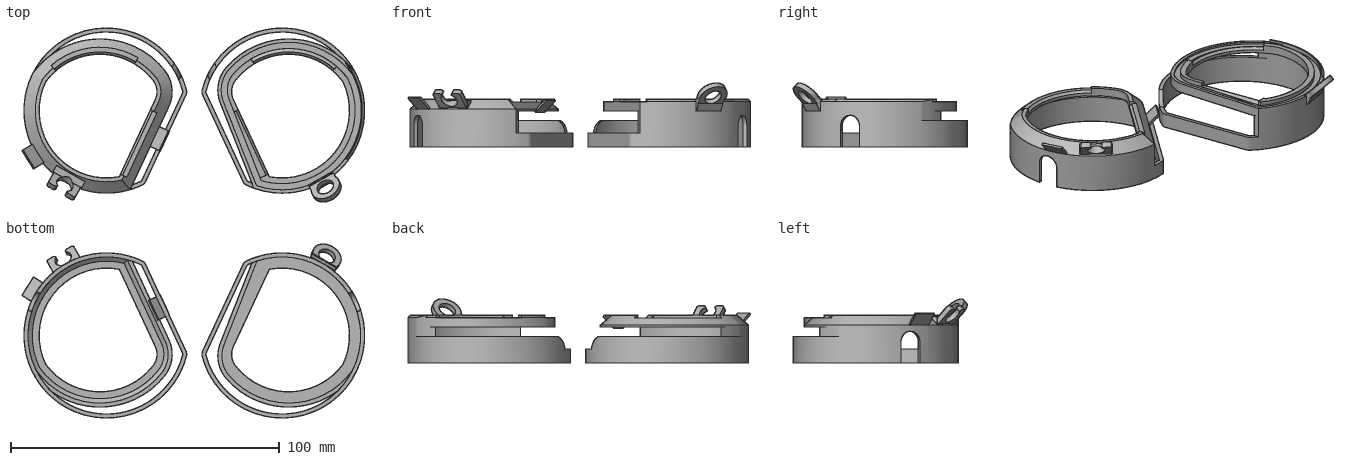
import cadquery as cq
import math

FLAT_ANGLE = -25
HALF_SPACING = 32.7

WALL_RADIUS = 30.8
WALL_THICKNESS = 1.5
WALL_FLAT = 24.4
WALL_CORNER_RADIUS = 2.5

TRIM_X = -0.5
TRIM_Y = -4.7
FLANGE_FLAT = 20.4
FLANGE_CORNER_RADIUS = 12.8
FLANGE_BOTTOM = 13.4
FLANGE_TOP = 17.9
RING_WIDTH = 5.7
CAVITY_CEILING = 14.8

STRAP_TOP = 10.0
STRAP_LOW_TOP = 5.4
RAMP_START = 15.3
RAMP_MIDDLE = (17.9, 8.4)
RAMP_END = 19.7

ARCH_ANGLE = 230
ARCH_WIDTH = 7.7
ARCH_TOP = 11.9

BEVEL_BOTTOM = 14.2
BEVEL_ANGLE = 49

FLAT_TILT = 3.5
LEDGE_TOP = 17.0
GROOVE_FLOOR = 16.3
RIM_WIDTH = 1.3
RING_INSET = 3.6
TALL_RIM_ANGLE = 205
TALL_RIM_SPAN = 74

ARC_LATCH_ANGLE = 120
ARC_LATCH_SPAN = 72
FLAT_LATCH_START = -19.3
FLAT_LATCH_END = 7.1
LATCH_FLOOR = 16.8
LATCH_BEVEL = 0.9
LATCH_OVERCUT = 1.3
RIDGE_FOOT = 15.7
RIDGE_REACH = 3.8

TAB_TILT = 45
TAB_WIDTH = 8.2
TAB_LENGTH = 5.6
TAB_EMBED = 0.6
TAB_THICKNESS = 0.8
ROUND_TAB_ANGLE = 237
ROUND_TAB_RADIUS = 30.1
ROUND_TAB_HEIGHT = 14.8
FLAT_TAB_DISTANCE = 20.0
FLAT_TAB_HEIGHT = 13.9
FLAT_TAB_SHIFT = -1.1

CLIP_ANGLE = 265.5
LUG_THICKNESS = 2.0
LUG_HOLE = 6.5
CLIP_WIDTH = 11.5
CLIP_RADIUS = 32.2
CLIP_HEIGHT = 18.3
CLIP_MOUTH = 4.1
CLIP_TIP_RADIUS = 0.9
CLIP_REACH = 3.5
CLIP_ROOT = 5.6
CLIP_PAD_WIDTH = 12.3
CLIP_PAD_INNER = 26.9
CLIP_PAD_TOP = 17.5
CLIP_PAD_OUTER = 29.6
CLIP_PAD_EDGE = 17.2
EYELET_DIAMETER = 11.2
EYELET_NECK_WIDTH = 10.5
EYELET_RADIUS = 33.3
EYELET_HEIGHT = 19.3
EYELET_ROOT = 5.4
GUSSET_BOTTOM = 13.5
GUSSET_TOP = 16.3
GUSSET_REACH = 1.4

OVERSIZE = 76.6



def block(outline, bottom, top):
    """Extrude a closed wire drawn at z = 0 between two heights."""
    return cq.Workplane("XY").add(outline).toPending().extrude(top - bottom).translate((0, 0, bottom))


def half_space(flat, height):
    return cq.Workplane("XY").box(OVERSIZE, 2 * OVERSIZE, height, centered=(True, True, False)).translate(
        (flat - OVERSIZE / 2, 0, 0))


def wall_wire():
    solid = cq.Workplane("XY").circle(WALL_RADIUS).extrude(1.3).intersect(half_space(WALL_FLAT, 1.3))
    return solid.edges("|Z").fillet(WALL_CORNER_RADIUS).faces("<Z").wires().val()


def flange_wire(flat_tilt):
    solid = cq.Workplane("XY").circle(WALL_RADIUS).extrude(1.3)
    solid = solid.intersect(cq.Workplane("XY").center(TRIM_X, TRIM_Y).circle(WALL_RADIUS).extrude(1.3))
    flat_middle = (FLANGE_FLAT, 0, 0)
    solid = solid.intersect(half_space(FLANGE_FLAT, 1.3).rotate(flat_middle, (FLANGE_FLAT, 0, 1), flat_tilt))
    upper_corner = solid.edges("|Z").edges(">(1, 1, 0)")
    return upper_corner.fillet(FLANGE_CORNER_RADIUS).faces("<Z").wires().val()


def inset(wire, distance):
    return wire.offset2D(-distance)[0]


WALL = wall_wire()
FLANGE = flange_wire(0)
TILTED_FLANGE = flange_wire(FLAT_TILT)
OPENING = inset(FLANGE, RING_WIDTH)


def slot(flange_outline):
    """Space above the strap and outside the flange outline."""
    above_strap = cq.Workplane("XY").box(OVERSIZE, OVERSIZE, FLANGE_BOTTOM - STRAP_TOP, centered=(True, True, False))
    above_strap = above_strap.translate((0, 0, STRAP_TOP))
    above_low_strap = (
        cq.Workplane("XZ")
        .moveTo(RAMP_START, STRAP_TOP)
        .threePointArc(RAMP_MIDDLE, (RAMP_END, STRAP_LOW_TOP))
        .lineTo(OVERSIZE, STRAP_LOW_TOP)
        .lineTo(OVERSIZE, STRAP_TOP)
        .close()
        .extrude(OVERSIZE, both=True)
    )
    return above_strap.union(above_low_strap).cut(block(flange_outline, 0, FLANGE_TOP))


def arch():
    spring_height = ARCH_TOP - ARCH_WIDTH / 2
    profile = (
        cq.Workplane("YZ")
        .moveTo(-ARCH_WIDTH / 2, 0)
        .lineTo(-ARCH_WIDTH / 2, spring_height)
        .threePointArc((0, ARCH_TOP), (ARCH_WIDTH / 2, spring_height))
        .lineTo(ARCH_WIDTH / 2, 0)
        .close()
        .extrude(OVERSIZE)
    )
    return profile.rotate((0, 0, 0), (0, 0, 1), ARCH_ANGLE)


def shell(flange_outline):
    wall = block(WALL, 0, FLANGE_BOTTOM).cut(block(inset(WALL, WALL_THICKNESS), 0, FLANGE_BOTTOM))
    return wall.cut(slot(flange_outline)).cut(arch())



def latch_cut(section):
    """Sweep a recess section of (distance outward from the opening, height) along the arc and the flat."""
    arc_radius = WALL_RADIUS - RING_WIDTH
    along_arc = (
        cq.Workplane("XZ")
        .polyline([(arc_radius + out, z) for out, z in section])
        .close()
        .revolve(ARC_LATCH_SPAN, (0, 0, 0), (0, 1, 0))
        .rotate((0, 0, 0), (0, 0, 1), ARC_LATCH_ANGLE - ARC_LATCH_SPAN / 2)
        .translate((TRIM_X, TRIM_Y, 0))
    )
    flat_opening = FLANGE_FLAT - RING_WIDTH
    along_flat = (
        cq.Workplane("XZ", origin=(0, FLAT_LATCH_END, 0))
        .polyline([(flat_opening + out, z) for out, z in section])
        .close()
        .extrude(FLAT_LATCH_END - FLAT_LATCH_START)
    )
    return along_arc.union(along_flat)



def tilted_plane(angle, radius, height):
    """Plane whose x runs around the wall axis and whose y rises outward at TAB_TILT."""
    c = math.cos(math.radians(angle))
    s = math.sin(math.radians(angle))
    lean = math.tan(math.radians(TAB_TILT))
    return cq.Workplane(cq.Plane((radius * c, radius * s, height), (s, -c, 0), (-c * lean, -s * lean, 1)))


def tab(angle, radius, height):
    plate = tilted_plane(angle, radius, height).center(0, (TAB_LENGTH - TAB_EMBED) / 2)
    return plate.rect(TAB_WIDTH, TAB_LENGTH + TAB_EMBED).extrude(-TAB_THICKNESS)


def lug_rib(section, width):
    """Extrude a (radius, height) section to a width centred on the direction of the lug."""
    rib = cq.Workplane("XZ").polyline(section).close().extrude(width / 2, both=True)
    return rib.rotate((0, 0, 0), (0, 0, 1), CLIP_ANGLE)


def clip():
    plate = tilted_plane(CLIP_ANGLE, CLIP_RADIUS, CLIP_HEIGHT)
    claws = plate.center(0, (CLIP_REACH - CLIP_ROOT) / 2).rect(CLIP_WIDTH, CLIP_REACH + CLIP_ROOT)
    claws = claws.extrude(LUG_THICKNESS / 2, both=True)
    mouth = plate.center(0, CLIP_REACH / 2).rect(CLIP_MOUTH, CLIP_REACH).extrude(LUG_THICKNESS, both=True)
    claws = claws.cut(mouth)
    thickness_edges = cq.selectors.ParallelDirSelector(plate.plane.zDir)
    tip_edges = cq.selectors.DirectionMinMaxSelector(plate.plane.yDir, True)
    claws = claws.edges(thickness_edges).edges(tip_edges).fillet(CLIP_TIP_RADIUS)
    pad = lug_rib([(CLIP_PAD_INNER, CLIP_PAD_TOP), (CLIP_PAD_OUTER, CLIP_PAD_EDGE),
                   (CLIP_PAD_OUTER, BEVEL_BOTTOM), (CLIP_PAD_INNER, BEVEL_BOTTOM)], CLIP_PAD_WIDTH)
    hole = plate.circle(LUG_HOLE / 2).extrude(CLIP_WIDTH, both=True)
    return claws.union(pad).cut(hole)


def eyelet():
    plate = tilted_plane(CLIP_ANGLE, EYELET_RADIUS, EYELET_HEIGHT)
    ring = plate.circle(EYELET_DIAMETER / 2).extrude(LUG_THICKNESS / 2, both=True)
    neck = plate.center(0, -EYELET_ROOT / 2).rect(EYELET_NECK_WIDTH, EYELET_ROOT)
    neck = neck.extrude(LUG_THICKNESS / 2, both=True)
    hole = plate.circle(LUG_HOLE / 2).extrude(LUG_THICKNESS, both=True)
    inner = WALL_RADIUS - WALL_THICKNESS
    gusset = lug_rib([(inner, GUSSET_BOTTOM), (WALL_RADIUS, GUSSET_BOTTOM),
                      (WALL_RADIUS + GUSSET_REACH, GUSSET_TOP), (inner, GUSSET_TOP)], EYELET_NECK_WIDTH)
    return ring.union(neck).cut(hole).union(gusset)



def tapered_block(outline, bottom, top):
    solid = cq.Workplane("XY").add(outline).toPending().extrude(top - bottom, taper=BEVEL_ANGLE)
    return solid.translate((0, 0, bottom))


def bevelled_half():
    flange = block(FLANGE, FLANGE_BOTTOM, BEVEL_BOTTOM)
    flange = flange.union(tapered_block(FLANGE, BEVEL_BOTTOM, FLANGE_TOP))
    flange = flange.union(clip())
    flange = flange.union(tab(ROUND_TAB_ANGLE, ROUND_TAB_RADIUS, ROUND_TAB_HEIGHT))
    flange = flange.union(tab(0, FLAT_TAB_DISTANCE, FLAT_TAB_HEIGHT).translate((0, FLAT_TAB_SHIFT, 0)))
    flange = flange.cut(tapered_block(inset(FLANGE, WALL_THICKNESS), FLANGE_BOTTOM, CAVITY_CEILING))
    flange = flange.cut(block(OPENING, 0, FLANGE_TOP))
    flange = flange.cut(latch_cut([
        (-LATCH_OVERCUT, LATCH_FLOOR - LATCH_BEVEL), (0, LATCH_FLOOR - LATCH_BEVEL),
        (LATCH_BEVEL, LATCH_FLOOR), (RING_WIDTH, LATCH_FLOOR),
        (RING_WIDTH, FLANGE_TOP), (-LATCH_OVERCUT, FLANGE_TOP)]))
    return shell(FLANGE).union(flange)


def tall_rim():
    top_radius = WALL_RADIUS - (FLANGE_TOP - LEDGE_TOP)
    rim = (
        cq.Workplane("XZ")
        .polyline([(WALL_RADIUS - RIM_WIDTH, LEDGE_TOP), (WALL_RADIUS, LEDGE_TOP),
                   (top_radius, FLANGE_TOP), (WALL_RADIUS - RIM_WIDTH, FLANGE_TOP)])
        .close()
        .revolve(TALL_RIM_SPAN, (0, 0, 0), (0, 1, 0))
        .rotate((0, 0, 0), (0, 0, 1), TALL_RIM_ANGLE - TALL_RIM_SPAN / 2)
    )
    return rim.intersect(block(TILTED_FLANGE, LEDGE_TOP, FLANGE_TOP))


def rebated_half():
    flange = block(TILTED_FLANGE, FLANGE_BOTTOM, LEDGE_TOP)
    flange = flange.cut(block(inset(TILTED_FLANGE, RIM_WIDTH), GROOVE_FLOOR, LEDGE_TOP))
    flange = flange.union(block(inset(TILTED_FLANGE, RING_INSET), GROOVE_FLOOR, FLANGE_TOP))
    flange = flange.union(tall_rim())
    flange = flange.cut(block(inset(TILTED_FLANGE, WALL_THICKNESS), FLANGE_BOTTOM, CAVITY_CEILING))
    flange = flange.cut(block(OPENING, 0, FLANGE_TOP))
    ridges = latch_cut([
        (-LATCH_OVERCUT, LATCH_FLOOR - LATCH_BEVEL), (0, LATCH_FLOOR - LATCH_BEVEL),
        (LATCH_BEVEL, LATCH_FLOOR), (RIDGE_REACH, RIDGE_FOOT),
        (RIDGE_REACH, FLANGE_TOP), (-LATCH_OVERCUT, FLANGE_TOP)])
    flange = flange.cut(ridges.intersect(block(inset(TILTED_FLANGE, RING_INSET), 0, FLANGE_TOP)))
    return shell(TILTED_FLANGE).union(flange).union(eyelet())


def turn(half):
    return half.rotate((0, 0, 0), (0, 0, 1), FLAT_ANGLE)


bevelled = turn(bevelled_half()).translate((-HALF_SPACING, 0, 0))
rebated = turn(rebated_half()).mirror("YZ").translate((HALF_SPACING, 0, 0))

result = cq.Compound.makeCompound([bevelled.val(), rebated.val()])